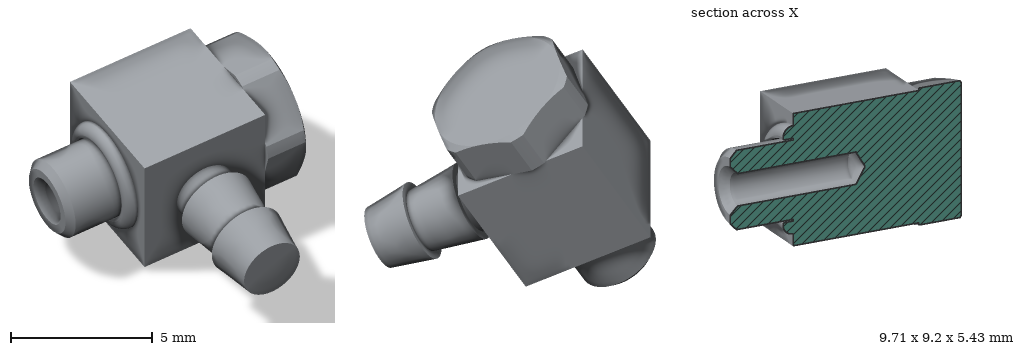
import cadquery as cq
import math

BODY_SIZE = 5.0

HEX_ACROSS_FLATS = BODY_SIZE
HEX_CORNER_DIAMETER = 5.51
HEX_HEIGHT = 1.7
HEX_TURN = 15
HEX_CHAMFER_ANGLE = 30

SPIGOT_RADIUS = 1.505
SPIGOT_LENGTH = 2.5
SPIGOT_TIP_RADIUS = 1.23
SPIGOT_CHAMFER_LENGTH = 0.25
BORE_RADIUS = 0.6
BORE_MOUTH_RADIUS = 0.9
BORE_DEPTH = SPIGOT_LENGTH + BODY_SIZE / 2
DRILL_POINT_ANGLE = 118

RING_OUTER_RADIUS = 2.05
RING_INNER_RADIUS = 1.55
RING_HEIGHT = 0.4
RING_BEVEL_DEPTH = 0.02

STEM_RADIUS = 1.16
STEM_LENGTH = 0.8
BARB_RADIUS = 1.45
INNER_BARB_LENGTH = 2.0
OUTER_BARB_LENGTH = 1.7

HALF_BODY = BODY_SIZE / 2


def revolve_about_y(profile):
    """Turn an outline of (radius, y) points about the Y axis."""
    return cq.Workplane("XY").polyline(profile).close().revolve(360, (0, 0), (0, 1))


def hex_head():
    corner_radius = HEX_CORNER_DIAMETER / 2
    flat_radius = HEX_ACROSS_FLATS / 2
    chamfer_drop = (corner_radius - flat_radius) * math.tan(math.radians(HEX_CHAMFER_ANGLE))
    top = HALF_BODY + HEX_HEIGHT
    prism = (
        cq.Workplane("XZ", origin=(0, HALF_BODY, 0))
        .polygon(6, HEX_ACROSS_FLATS / math.cos(math.pi / 6))
        .extrude(-HEX_HEIGHT)
        .rotate((0, 0, 0), (0, 1, 0), -HEX_TURN)
    )
    turned_blank = revolve_about_y([
        (0, HALF_BODY),
        (corner_radius, HALF_BODY),
        (corner_radius, top - chamfer_drop),
        (flat_radius, top),
        (0, top),
    ])
    return prism.intersect(turned_blank)


def spigot():
    tip = -HALF_BODY - SPIGOT_LENGTH
    return revolve_about_y([
        (0, 0),
        (SPIGOT_RADIUS, 0),
        (SPIGOT_RADIUS, tip + SPIGOT_CHAMFER_LENGTH),
        (SPIGOT_TIP_RADIUS, tip),
        (0, tip),
    ])


def blind_bore():
    """Bore up the spigot, countersunk at 45 degrees, with a drill point at its end."""
    tip = -HALF_BODY - SPIGOT_LENGTH
    countersink_depth = BORE_MOUTH_RADIUS - BORE_RADIUS
    point_height = BORE_RADIUS / math.tan(math.radians(DRILL_POINT_ANGLE / 2))
    return revolve_about_y([
        (0, tip),
        (BORE_MOUTH_RADIUS, tip),
        (BORE_RADIUS, tip + countersink_depth),
        (BORE_RADIUS, tip + BORE_DEPTH),
        (0, tip + BORE_DEPTH + point_height),
    ])


def sealing_ring():
    crest_radius = RING_OUTER_RADIUS - RING_HEIGHT
    crest_y = -HALF_BODY - RING_HEIGHT
    arc_offset = RING_HEIGHT * math.sqrt(0.5)
    return (
        cq.Workplane("XY")
        .moveTo(RING_INNER_RADIUS, -HALF_BODY)
        .lineTo(RING_OUTER_RADIUS, -HALF_BODY)
        .threePointArc(
            (crest_radius + arc_offset, -HALF_BODY - arc_offset),
            (crest_radius, crest_y),
        )
        .lineTo(RING_INNER_RADIUS, crest_y + RING_BEVEL_DEPTH)
        .close()
        .revolve(360, (0, 0), (0, 1))
    )


def hose_barb():
    inner_barb = HALF_BODY + STEM_LENGTH
    outer_barb = inner_barb + INNER_BARB_LENGTH
    end = outer_barb + OUTER_BARB_LENGTH
    profile = [
        (HALF_BODY, 0),
        (HALF_BODY, STEM_RADIUS),
        (inner_barb, STEM_RADIUS),
        (inner_barb, BARB_RADIUS),
        (outer_barb, STEM_RADIUS),
        (outer_barb, BARB_RADIUS),
        (end, STEM_RADIUS),
        (end, 0),
    ]
    return cq.Workplane("XY").polyline(profile).close().revolve(360, (0, 0), (1, 0))


body = cq.Workplane("XY").box(BODY_SIZE, BODY_SIZE, BODY_SIZE)
result = (
    body.union(hex_head())
    .union(spigot())
    .union(sealing_ring())
    .union(hose_barb())
    .cut(blind_bore())
)